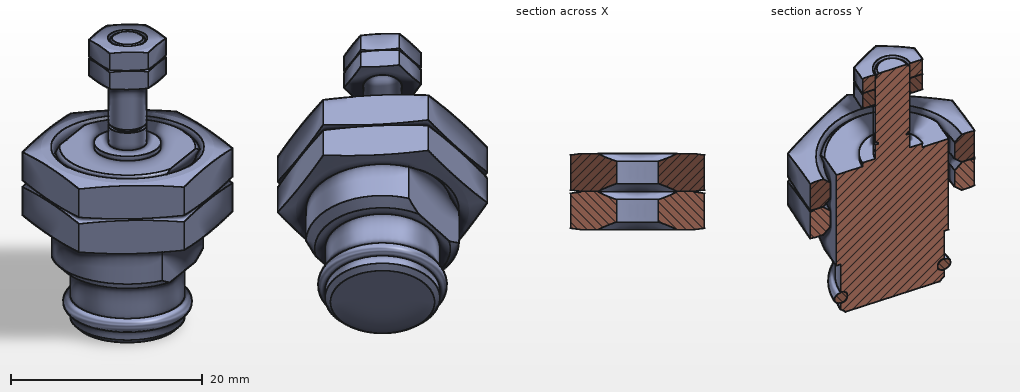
import cadquery as cq
import math

spigot_diameter = 12.0
spigot_chamfer = 0.55
barrel_diameter = 16.0
barrel_across_flats = 13.0
barrel_bottom = 7.0
barrel_top = 20.0
barrel_chamfer = 0.9
collar_diameter = 7.0
collar_top = 20.5
rod_diameter = 4.0
rod_root_diameter = 3.25
rod_thread_start = 22.5
stem_top = 32.5
rod_chamfer = (rod_diameter - rod_root_diameter) / 2

ring_section_diameter = 1.5
ring_height = 2.28

nut_count = 2
nut_corner_slope = math.tan(math.radians(11))
big_nut_across_flats = 19.0
big_nut_thickness = 4.0
big_nut_bore = 14.35
big_nut_countersink = barrel_diameter
big_nut_face_diameter = 18.07
small_nut_across_flats = 7.0
small_nut_thickness = 2.18
small_nut_bore = rod_root_diameter
small_nut_countersink = 4.13
small_nut_face_diameter = 6.63


def cylinder(diameter, bottom, top):
    return cq.Workplane("XY").workplane(offset=bottom).circle(diameter / 2).extrude(top - bottom)


def revolve_profile(points):
    """Turn a closed (radius, height) profile about the Z axis."""
    return cq.Workplane("XZ").polyline(points).close().revolve(360, (0, 0, 0), (0, 1, 0))


def make_ring():
    return (
        cq.Workplane("XZ")
        .center(spigot_diameter / 2, ring_height)
        .circle(ring_section_diameter / 2)
        .revolve(360, (-spigot_diameter / 2, 0, 0), (-spigot_diameter / 2, 1, 0))
    )


def make_barrel():
    length = barrel_top - barrel_bottom
    barrel = cylinder(barrel_diameter, barrel_bottom, barrel_top).edges("%CIRCLE").chamfer(barrel_chamfer)
    flats = (
        cq.Workplane("XY")
        .workplane(offset=barrel_bottom)
        .rect(barrel_across_flats, barrel_diameter)
        .extrude(length)
    )
    return barrel.intersect(flats)


def make_stem(ring):
    spigot = cylinder(spigot_diameter, 0, barrel_bottom).faces("<Z").chamfer(spigot_chamfer)
    collar = cylinder(collar_diameter, barrel_top, collar_top)
    plain_rod = cylinder(rod_diameter, collar_top, rod_thread_start)
    threaded_rod = cylinder(rod_diameter, rod_thread_start, stem_top).edges("%CIRCLE").chamfer(rod_chamfer)
    stem = spigot.union(make_barrel()).union(collar).union(plain_rod).union(threaded_rod)
    return stem.cut(ring)


def make_nut(bottom, thickness, across_flats, face_diameter, bore, countersink, stem):
    """Hexagon nut with corners on the Y axis, coned faces and a countersunk bore that fits the stem."""
    corner_radius = across_flats / math.sqrt(3)
    top = bottom + thickness
    hexagon = (
        cq.Workplane("XY")
        .workplane(offset=bottom)
        .polygon(6, 2 * corner_radius)
        .extrude(thickness)
        .rotate((0, 0, 0), (0, 0, 1), 30)
    )
    face_radius = face_diameter / 2
    bore_radius = bore / 2
    countersink_radius = countersink / 2
    countersink_depth = countersink_radius - bore_radius
    corner_drop = (corner_radius - face_radius) * nut_corner_slope
    turned_blank = revolve_profile([
        (countersink_radius, bottom),
        (face_radius, bottom),
        (corner_radius, bottom + corner_drop),
        (corner_radius, top - corner_drop),
        (face_radius, top),
        (countersink_radius, top),
        (bore_radius, top - countersink_depth),
        (bore_radius, bottom + countersink_depth),
    ])
    return hexagon.intersect(turned_blank).cut(stem)


def make_big_nut(index, stem):
    bottom = barrel_top - (index + 1) * big_nut_thickness
    return make_nut(
        bottom, big_nut_thickness, big_nut_across_flats, big_nut_face_diameter,
        big_nut_bore, big_nut_countersink, stem,
    )


def make_small_nut(index, stem):
    bottom = stem_top - (index + 1) * small_nut_thickness
    return make_nut(
        bottom, small_nut_thickness, small_nut_across_flats, small_nut_face_diameter,
        small_nut_bore, small_nut_countersink, stem,
    )


sealing_ring = make_ring()
stem = make_stem(sealing_ring)
big_nuts = [make_big_nut(index, stem).val() for index in range(nut_count)]
small_nuts = [make_small_nut(index, stem).val() for index in range(nut_count)]

result = cq.Compound.makeCompound([stem.val(), sealing_ring.val(), *big_nuts, *small_nuts])